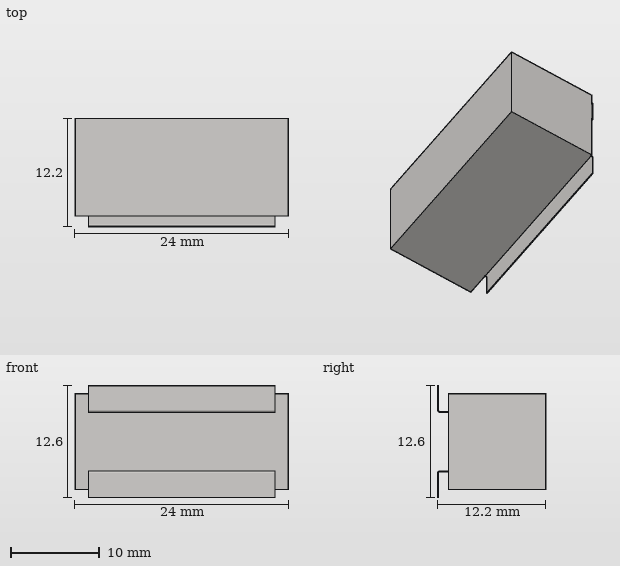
import cadquery as cq

body_length = 24.0
body_depth = 11.0
body_height = 10.8

lead_length = 21.0
lead_reach = 1.2
lead_height = 3.0
lead_thickness = 0.1
outer_bend_radius = 0.25
inner_bend_radius = outer_bend_radius - lead_thickness
overall_height = 12.6

front_y = -body_depth / 2
lead_face_y = front_y - lead_reach
lead_tip_z = overall_height / 2
lead_base_z = lead_tip_z - lead_height


def make_upper_lead():
    """Strip leaving the body horizontally, then bent upward to its tip."""
    profile = (
        cq.Workplane("YZ")
        .moveTo(front_y, lead_base_z)
        .lineTo(lead_face_y + outer_bend_radius, lead_base_z)
        .radiusArc((lead_face_y, lead_base_z + outer_bend_radius), outer_bend_radius)
        .lineTo(lead_face_y, lead_tip_z)
        .lineTo(lead_face_y + lead_thickness, lead_tip_z)
        .lineTo(lead_face_y + lead_thickness, lead_base_z + outer_bend_radius)
        .radiusArc(
            (lead_face_y + outer_bend_radius, lead_base_z + lead_thickness),
            -inner_bend_radius,
        )
        .lineTo(front_y, lead_base_z + lead_thickness)
        .close()
    )
    return profile.extrude(lead_length / 2, both=True)


body = cq.Workplane("XY").box(body_length, body_depth, body_height)
upper_lead = make_upper_lead()
lower_lead = upper_lead.mirror("XY")

result = body.union(upper_lead).union(lower_lead)